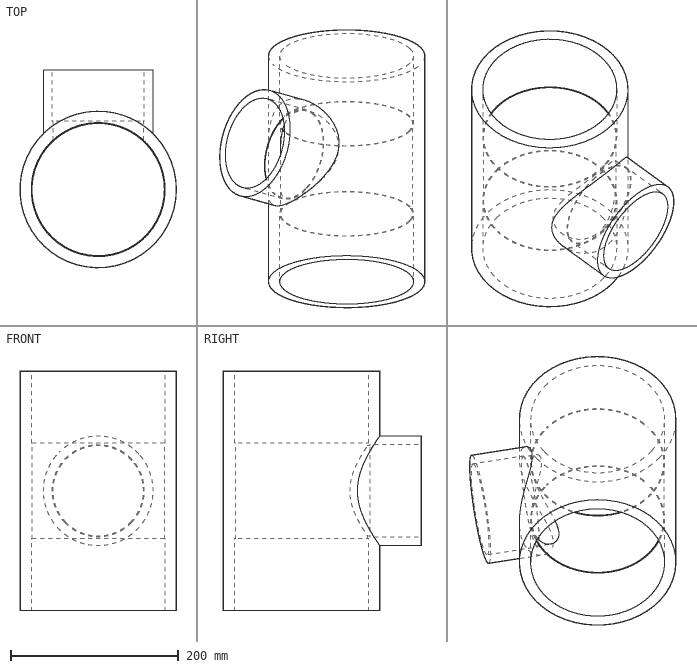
import cadquery as cq

run_length = 286.0
run_outer_diameter = 187.0
run_socket_diameter = 160.0
run_socket_depth = 86.0
run_bore_diameter = 158.0

branch_reach = 143.0
branch_outer_diameter = 131.0
branch_socket_diameter = 110.0
branch_socket_depth = 61.0
branch_bore_diameter = 108.0


def run_cylinder(diameter, bottom, length):
    """Cylinder on the run axis, starting at height bottom."""
    return cq.Workplane("XY").workplane(offset=bottom).circle(diameter / 2).extrude(length)


def branch_cylinder(diameter, start, length):
    """Cylinder on the branch axis, starting at distance start from the run axis."""
    return cq.Workplane("XZ").workplane(offset=-start).circle(diameter / 2).extrude(-length)


def tee_body():
    run = run_cylinder(run_outer_diameter, -run_length / 2, run_length)
    branch = branch_cylinder(branch_outer_diameter, 0, branch_reach)
    return run.union(branch)


def cut_bores(body):
    run_bore = run_cylinder(run_bore_diameter, -run_length / 2, run_length)
    branch_bore = branch_cylinder(branch_bore_diameter, 0, branch_reach)
    return body.cut(run_bore).cut(branch_bore)


def cut_sockets(body):
    """Widen each mouth, leaving a small step that stops the inserted pipe."""
    for bottom in (-run_length / 2, run_length / 2 - run_socket_depth):
        body = body.cut(run_cylinder(run_socket_diameter, bottom, run_socket_depth))
    branch_socket_start = branch_reach - branch_socket_depth
    return body.cut(branch_cylinder(branch_socket_diameter, branch_socket_start, branch_socket_depth))


result = cut_sockets(cut_bores(tee_body()))